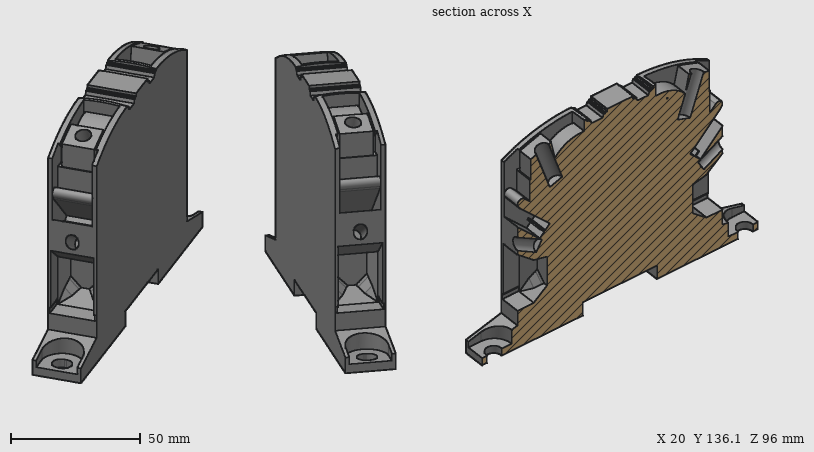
import cadquery as cq
import math


width = 20.0
length = 136.1
height = 96.0
half_length = length / 2
body_end = 50.6
foot_edge_height = 6.5
foot_root_height = 11.2
shoulder_height = 87.0
rail_slot_half = 18.2
rail_slot_depth = 6.5
crown_radius = 72.1
clear = 27.2

groove_center = 11.3
groove_wall = [(2.6, 92.7), (3.1, 94.2), (4.0, 94.2), (4.0, 94.7), (4.9, 94.7), (4.9, height)]
groove_outer = groove_center + groove_wall[-1][0]

foot_hole_y = 61.9
foot_hole_length = 8.0
foot_hole_width = 7.2
counterbore_radius = 8.5
counterbore_floor = 3.7

pocket_inner = 17.7
pocket_outer = 44.1
pocket_half_width = 7.3
pocket_floor = 79.8
block_half_width = 6.7
block_front_height = 89.7
block_peak = (33.9, 93.2)
ramp_radius = 16.7
ramp_crest = (19.2, 90.6)
ramp_end_angle = math.radians(50)
ramp_start_angle = math.asin((pocket_inner - ramp_crest[0]) / ramp_radius)
screw_hole_radius = 3.1
screw_hole_y = 38.2
screw_hole_depth = 20.4

recess_half_width = 8.2
recess_inner = 44.5
recess_sill = 59.6
undercut_inner = 40.7
undercut_low = 86.4
undercut_high = 89.8
shaft_run = 11.0
shaft_rib_start = 2.2
shaft_rib_width = 0.5
shaft_rib_height = 1.8
lever_tip = (48.6, 70.5)
lever_tip_radius = 2.0
lever_nose_angle = math.radians(-20)
lever_heel = (49.4, 68.0)
lever_root_y = 40.8

release_hole_radius = 2.7
release_hole_height = 51.2
release_hole_tilt = 30.0
release_hole_depth = 12.2

entry_half_width = 8.8
entry_floor = 18.4
entry_top = 45.9
entry_depth = 8.0
entry_inner_top = 39.2
funnel_length = 6.5
funnel_half_width = 6.0
funnel_floor = 23.7
funnel_top = 37.7
side_groove_half_width = 9.3
side_groove_height = 2.5
corner_steps = [(0.0, 0.0), (0.53, 7.3), (0.9, 11.3), (1.0, 12.5)]


def prism(outline, half_width):
    """Solid with a closed YZ outline, centred on X."""
    return cq.Workplane("YZ").polyline(outline).close().extrude(half_width, both=True)


def crown_ball():
    """Ball whose surface is the domed crown between the groove and the end face."""
    run = body_end - groove_outer
    rise = height - shoulder_height
    chord = math.hypot(run, rise)
    reach = math.sqrt(crown_radius**2 - (chord / 2) ** 2)
    center_y = (groove_outer + body_end) / 2 - reach * rise / chord
    center_z = (height + shoulder_height) / 2 - reach * run / chord
    return cq.Workplane("XY").sphere(crown_radius).translate((0, center_y, center_z))


def housing_half():
    outer_wall = [(groove_center + offset, z) for offset, z in reversed(groove_wall)]
    inner_wall = [(groove_center - offset, z) for offset, z in groove_wall]
    half = prism(
        [
            (0, rail_slot_depth),
            (rail_slot_half, rail_slot_depth),
            (rail_slot_half, 0),
            (half_length, 0),
            (half_length, foot_edge_height),
            (body_end, foot_root_height),
            (body_end, height),
            *outer_wall,
            *inner_wall,
            (0, height),
        ],
        width / 2,
    )
    crown_block = cq.Workplane("XY").box(
        width, body_end - groove_outer, clear, centered=(True, False, False)
    ).translate((0, groove_outer, height - clear))
    return half.cut(crown_block.cut(crown_ball()))


def foot_cut():
    hole = (
        cq.Workplane("XY")
        .center(0, foot_hole_y)
        .slot2D(foot_hole_length, foot_hole_width)
        .extrude(clear)
    )
    seat = (
        cq.Workplane("XY", origin=(0, foot_hole_y, counterbore_floor))
        .circle(counterbore_radius)
        .extrude(clear)
    )
    open_end = cq.Workplane("XY").box(
        2 * counterbore_radius, clear, clear, centered=(True, False, False)
    ).translate((0, foot_hole_y, counterbore_floor))
    return hole.union(seat).union(open_end)


def pocket_cut():
    return cq.Workplane("XY").box(
        2 * pocket_half_width, pocket_outer - pocket_inner, clear, centered=(True, False, False)
    ).translate((0, pocket_inner, pocket_floor))


def ramp_point(angle):
    y = ramp_crest[0] + ramp_radius * math.sin(angle)
    z = ramp_crest[1] - ramp_radius * (1 - math.cos(angle))
    return (y, z)


def terminal_block():
    return (
        cq.Workplane("YZ")
        .moveTo(pocket_inner, pocket_floor)
        .lineTo(*ramp_point(ramp_start_angle))
        .threePointArc(
            ramp_point((ramp_start_angle + ramp_end_angle) / 2), ramp_point(ramp_end_angle)
        )
        .lineTo(*block_peak)
        .lineTo(pocket_outer, block_front_height)
        .lineTo(pocket_outer, pocket_floor)
        .close()
        .extrude(block_half_width, both=True)
    )


def screw_hole():
    """Blind hole square to the sloping top of the terminal block."""
    fall = (block_peak[1] - block_front_height) / (pocket_outer - block_peak[0])
    top = block_peak[1] - fall * (screw_hole_y - block_peak[0])
    axis = cq.Plane(origin=(0, screw_hole_y, top), xDir=(1, 0, 0), normal=(0, fall, 1))
    return cq.Workplane(axis).circle(screw_hole_radius).extrude(-screw_hole_depth)


def recess_cut():
    """Opening in the end face, down to the sill of the shaft."""
    upper = cq.Workplane("XY").box(
        2 * recess_half_width, clear, clear, centered=(True, False, False)
    ).translate((0, pocket_outer, pocket_floor))
    lower = cq.Workplane("XY").box(
        2 * recess_half_width, clear, pocket_floor - recess_sill, centered=(True, False, False)
    ).translate((0, recess_inner, recess_sill))
    return upper.union(lower)


def undercut():
    """Widening of the pocket to the width of the recess, below a sloping ceiling."""
    return prism(
        [
            (pocket_outer, pocket_floor),
            (undercut_inner, pocket_floor),
            (undercut_inner, undercut_low),
            (pocket_outer, undercut_high),
        ],
        recess_half_width,
    )


def shaft_cut():
    floor_end = (body_end - shaft_run, recess_sill - shaft_run)
    step = ((lever_heel[1] - lever_heel[0]) - (recess_sill - body_end)) / 2
    ceiling_end = (floor_end[0] - step, floor_end[1] + step)
    return prism(
        [(body_end, recess_sill), floor_end, ceiling_end, lever_heel, (body_end, lever_heel[1])],
        recess_half_width,
    )


def shaft_rib():
    """Small rib across the end wall of the shaft, just above its floor."""
    start = (
        body_end - shaft_run - shaft_rib_start,
        recess_sill - shaft_run + shaft_rib_start,
    )
    end = (start[0] - shaft_rib_width, start[1] + shaft_rib_width)
    return prism(
        [
            start,
            end,
            (end[0] + shaft_rib_height, end[1] + shaft_rib_height),
            (start[0] + shaft_rib_height, start[1] + shaft_rib_height),
        ],
        recess_half_width,
    )


def lever_plate():
    diagonal = lever_tip_radius / math.sqrt(2)
    top_tangent = (lever_tip[0] - diagonal, lever_tip[1] + diagonal)
    nose = (
        lever_tip[0] + lever_tip_radius * math.cos(lever_nose_angle),
        lever_tip[1] + lever_tip_radius * math.sin(lever_nose_angle),
    )
    plate = prism(
        [
            top_tangent,
            (lever_root_y, top_tangent[1] - top_tangent[0] + lever_root_y),
            (lever_root_y, lever_heel[1] - lever_heel[0] + lever_root_y),
            lever_heel,
            nose,
        ],
        recess_half_width,
    )
    tip = (
        cq.Workplane("YZ")
        .center(*lever_tip)
        .circle(lever_tip_radius)
        .extrude(recess_half_width, both=True)
    )
    return plate.union(tip)


def release_hole():
    """Blind hole running inward and down from the end face."""
    tilt = math.radians(release_hole_tilt)
    axis = cq.Plane(
        origin=(0, body_end, release_hole_height),
        xDir=(1, 0, 0),
        normal=(0, math.cos(tilt), math.sin(tilt)),
    )
    return (
        cq.Workplane(axis)
        .workplane(offset=-release_hole_depth)
        .circle(release_hole_radius)
        .extrude(release_hole_depth + 2 * release_hole_radius)
    )


def rectangle_wire(y, half_width, bottom, top):
    corners = [(-half_width, bottom), (half_width, bottom), (half_width, top), (-half_width, top)]
    return cq.Wire.makePolygon([cq.Vector(x, y, z) for x, z in corners], close=True)


def entry_corner(side):
    """Sloping filler in one lower corner of the funnel."""
    start = body_end - entry_depth
    corner = cq.Plane(
        origin=(side * entry_half_width, start, entry_floor),
        xDir=(0, -1, 0),
        normal=(side, 0, 1),
    )
    sign = 1 if corner.yDir.z > 0 else -1
    outline = [
        (fraction * funnel_length, sign * rise / math.sqrt(2)) for fraction, rise in corner_steps
    ]
    outline.append((funnel_length, 0))
    return cq.Workplane(corner).polyline(outline).close().extrude(clear, both=True)


def wire_entry():
    inner = body_end - entry_depth
    mouth = prism(
        [
            (body_end, entry_floor),
            (inner, entry_floor),
            (inner, entry_inner_top),
            (body_end, entry_top),
        ],
        entry_half_width,
    )
    funnel = cq.Workplane(
        cq.Solid.makeLoft(
            [
                rectangle_wire(inner, entry_half_width, entry_floor, entry_inner_top),
                rectangle_wire(inner - funnel_length, funnel_half_width, funnel_floor, funnel_top),
            ],
            True,
        )
    )
    for side in (-1, 1):
        funnel = funnel.cut(entry_corner(side))
    side_grooves = cq.Workplane("XY").box(
        2 * side_groove_half_width, entry_depth, side_groove_height, centered=(True, False, False)
    ).translate((0, inner, entry_floor))
    return mouth.union(funnel).union(side_grooves)


half = housing_half().cut(foot_cut())
half = half.cut(recess_cut()).cut(pocket_cut()).cut(undercut())
half = half.union(terminal_block()).cut(screw_hole())
half = half.cut(shaft_cut()).union(shaft_rib()).union(lever_plate())
half = half.cut(release_hole()).cut(wire_entry())

result = half.union(half.mirror("XZ"))